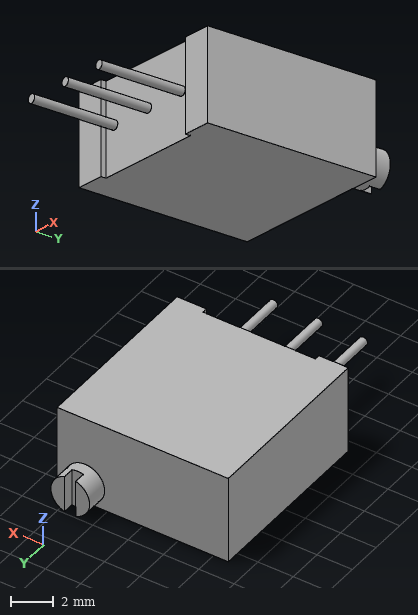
import cadquery as cq

HOUSING_WIDTH = 9.7
HOUSING_THICKNESS = 5.0
SEAT_TO_BACK = 9.83
FOOT_HEIGHT = 0.3
FOOT_GAP = 6.35

PIN_COUNT = 3
PIN_PITCH = 2.54
PIN_DIAMETER = 0.5
PIN_LENGTH = 5.0

SCREW_DIAMETER = 2.2
SCREW_LENGTH = 1.27
SCREW_X = 3.25
SCREW_Z = -1.31
SLOT_WIDTH = SCREW_LENGTH / 2
SLOT_DEPTH = SCREW_LENGTH / 2

SCREW_TIP_Y = SEAT_TO_BACK + SCREW_LENGTH


def box_along_y(width, thickness, start_y, end_y):
    """Box centred on the Y axis that spans start_y to end_y."""
    length = end_y - start_y
    middle_y = (start_y + end_y) / 2
    return cq.Workplane("XY").box(width, length, thickness).translate((0, middle_y, 0))


def rod_along_y(diameter, start_y, length, x, z):
    """Round rod that starts at start_y and runs toward +Y."""
    axis = cq.Vector(0, 1, 0)
    return cq.Workplane(cq.Solid.makeCylinder(diameter / 2, length, cq.Vector(x, start_y, z), axis))


def make_housing():
    block = box_along_y(HOUSING_WIDTH, HOUSING_THICKNESS, -FOOT_HEIGHT, SEAT_TO_BACK)
    gap = box_along_y(FOOT_GAP, HOUSING_THICKNESS, -FOOT_HEIGHT, 0)
    return block.cut(gap)


def make_screw():
    head = rod_along_y(SCREW_DIAMETER, SEAT_TO_BACK, SCREW_LENGTH, SCREW_X, SCREW_Z)
    slot = box_along_y(SLOT_WIDTH, SCREW_DIAMETER, SCREW_TIP_Y - SLOT_DEPTH, SCREW_TIP_Y)
    return head.cut(slot.translate((SCREW_X, 0, SCREW_Z)))


result = make_housing().union(make_screw())

for index in range(PIN_COUNT):
    pin_x = (index - (PIN_COUNT - 1) / 2) * PIN_PITCH
    result = result.union(rod_along_y(PIN_DIAMETER, -PIN_LENGTH, PIN_LENGTH, pin_x, 0))